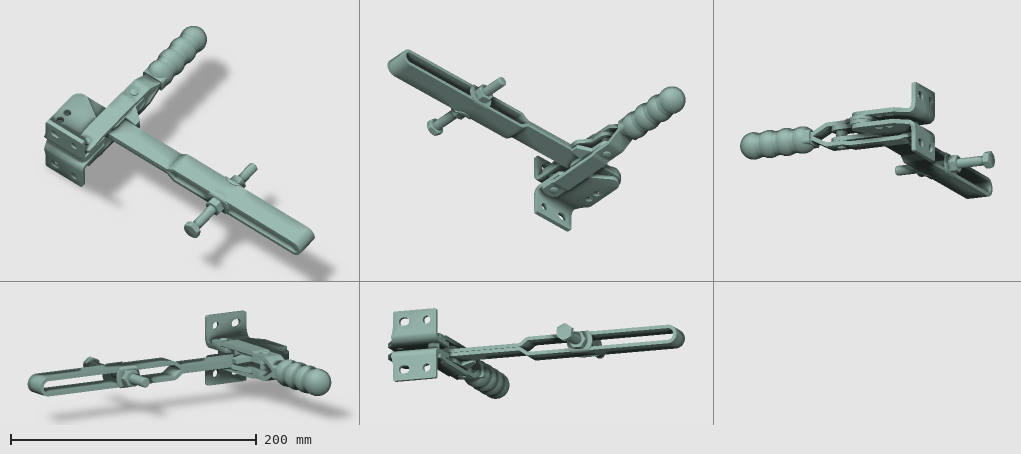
import cadquery as cq
import math


leaf_thickness = 3.0
leaf_half_gap = 0.12
plate_thickness = 3.7
strap_thickness = 3.5
plate_inner_z = leaf_half_gap + leaf_thickness
plate_outer_z = plate_inner_z + plate_thickness

arm_length = 243.5
arm_bottom_y = 37.5
arm_width = 19.7
arm_middle_y = arm_bottom_y + arm_width / 2
arm_top_y = arm_bottom_y + arm_width
arm_slot_outer_z = 7.8
arm_bend_start_x = 107.0
arm_bend_end_x = 113.3
arm_bend_radius = 2.7

base_right_x = 48.7
base_left_x = 1.2
base_half_height = 29.0
nose_x = 9.0
nose_radius = nose_x - base_left_x
slope_foot = (32.1, 41.2)
bend_inner_radius = 2.5
bend_outer_radius = bend_inner_radius + plate_thickness
corner_start_y = 15.3
corner_end = (4.6, 11.5)
flange_left_x = 11.2
flange_corner_radius = 1.5
side_hole_diameter = 6.3
side_hole_ys = (22.5, 32.0)
mount_hole_diameter = 6.5
mount_hole_z = 20.0
round_hole_x = 40.5
slot_hole_x = 21.0
slot_hole_length = 9.0

handle_x = 41.0
lower_rivet_y = 15.8
upper_rivet_y = 79.6
rivet_shank_diameter = 6.3
rivet_spacer_diameter = 9.5
rivet_head_diameter = 7.0
rivet_rim_height = 1.0
rivet_dome_height = 1.0

link_radius = 8.3
tab_bend_x = 50.0
tab_tip = (59.7, 63.3)
tab_drop = 2.5
tab_top_y = 70.6

strap_width = 15.5
strap_end_y = 7.0
strap_end_radius = 11.7
strap_step = 1.2
step_ys = (20.5, 24.4, 70.9, 74.5)
neck_ys = (90.4, 103.0)
strap_step_radius = 2.5
strap_neck_radius = 4.0
lever_end_y = 104.2

end_ball_radius = 11.2
middle_ball_radius = 11.5
end_ball_spacing = 14.4
middle_ball_spacing = 15.0
grip_top_y = 169.5
grip_neck_radius = 10.0
ferrule_width = 20.0
ferrule_height = 11.7
ferrule_corner_radius = 2.5

spindle_x = 159.8
spindle_top_y = 85.0
spindle_diameter = 8.0
spindle_chamfer = 0.7
hex_across_flats = 13.0
hex_chamfer_height = 0.7
head_height = 5.0
head_turn = 35.0
nut_height = 6.5
washer_radius = 11.0
washer_half_height = 8.8
washer_thickness = 1.5
washer_bend_radius = 2.5
washer_ear_half_width = 8.8
washer_ear_drop = 4.5


def box(x_range, y_range, z_range):
    """Axis-aligned block between the given limits."""
    sizes = [high - low for low, high in (x_range, y_range, z_range)]
    corner = (x_range[0], y_range[0], z_range[0])
    return cq.Workplane("XY").box(*sizes, centered=False).translate(corner)


def y_cylinder(x, z, radius, y_start, y_end):
    """Cylinder along Y from y_start to y_end."""
    plane = cq.Plane(origin=(x, y_start, z), xDir=(1, 0, 0), normal=(0, 1, 0))
    return cq.Workplane(plane).circle(radius).extrude(y_end - y_start)


def z_cylinder(x, y, radius, half_length):
    """Cylinder along Z, symmetric about the mid-plane."""
    return cq.Workplane("XY").center(x, y).circle(radius).extrude(half_length, both=True)


def mirrored(shape):
    """The shape reflected through the mid-plane Z = 0."""
    return shape.mirror("XY")


def offset_path(path, distance):
    """Open path moved sideways (to the right of travel), with mitred corners."""
    angles = [math.atan2(b[1] - a[1], b[0] - a[0]) for a, b in zip(path, path[1:])]
    before = [angles[0]] + angles
    after = angles + [angles[-1]]
    moved = []
    for (u, v), start, end in zip(path, before, after):
        middle = (start + end) / 2
        reach = distance / math.cos((end - start) / 2)
        moved.append((u + reach * math.sin(middle), v - reach * math.cos(middle)))
    return moved


def bent_strip(plane, path, thickness, radii, width):
    """Sheet strip whose outer face follows the path; radii are the inside radii of its bends."""
    inner = offset_path(path, thickness)
    strip = cq.Workplane(plane).polyline(path + inner[::-1]).close().extrude(width)
    to_world = strip.plane.toWorldCoords
    for i, radius in enumerate(radii, start=1):
        turn = (path[i][0] - path[i - 1][0]) * (path[i + 1][1] - path[i][1])
        turn -= (path[i][1] - path[i - 1][1]) * (path[i + 1][0] - path[i][0])
        outer_radius = radius if turn > 0 else radius + thickness
        inner_radius = radius + thickness if turn > 0 else radius
        for corner, bend in ((path[i], outer_radius), (inner[i], inner_radius)):
            middle = to_world((corner[0], corner[1], width / 2)).toTuple()
            strip = strip.edges(cq.selectors.NearestToPointSelector(middle)).fillet(bend)
    return strip


def rivet(y, seat_z):
    """Spacer, shank and two domed heads that sit on the outer faces at Z = +-seat_z."""
    head_radius = rivet_head_diameter / 2
    rim_z = seat_z + rivet_rim_height
    shank = z_cylinder(handle_x, y, rivet_shank_diameter / 2, seat_z)
    spacer = z_cylinder(handle_x, y, rivet_spacer_diameter / 2, plate_inner_z)
    dome_radius = (head_radius**2 + rivet_dome_height**2) / (2 * rivet_dome_height)
    half_angle = math.asin(head_radius / dome_radius) / 2
    dome_middle = (
        dome_radius * math.sin(half_angle),
        rim_z + rivet_dome_height - dome_radius * (1 - math.cos(half_angle)),
    )
    head = (
        cq.Workplane("XZ")
        .moveTo(0, seat_z)
        .lineTo(head_radius, seat_z)
        .lineTo(head_radius, rim_z)
        .threePointArc(dome_middle, (0, rim_z + rivet_dome_height))
        .close()
        .revolve(360, (0, 0, 0), (0, 1, 0))
        .translate((handle_x, y, 0))
    )
    return spacer.union(shank).union(head).union(mirrored(head))


def make_arm():
    """Strip folded back on itself: two close leaves that open into a long slotted end."""
    tip_x = arm_length - arm_slot_outer_z
    path = [
        (0, plate_inner_z),
        (arm_bend_start_x, plate_inner_z),
        (arm_bend_end_x, arm_slot_outer_z),
        (tip_x, arm_slot_outer_z),
    ]
    radii = (arm_bend_radius, arm_bend_radius)
    plane = cq.Plane(origin=(0, arm_top_y, 0), xDir=(1, 0, 0), normal=(0, -1, 0))
    leaf = bent_strip(plane, path, leaf_thickness, radii, arm_width)
    ring = y_cylinder(tip_x, 0, arm_slot_outer_z, arm_bottom_y, arm_top_y)
    ring = ring.cut(y_cylinder(tip_x, 0, arm_slot_outer_z - leaf_thickness, arm_bottom_y, arm_top_y))
    z_range = (-arm_slot_outer_z, arm_slot_outer_z)
    fold = ring.intersect(box((tip_x, arm_length), (arm_bottom_y, arm_top_y), z_range))
    arm = leaf.union(fold).union(mirrored(leaf))
    round_end_x = arm_width / 2
    outline = z_cylinder(round_end_x, arm_middle_y, round_end_x, arm_slot_outer_z)
    outline = outline.union(box((round_end_x, arm_length), (arm_bottom_y, arm_top_y), z_range))
    return arm.intersect(outline)


def base_side_outline():
    """Outline of the upright plate: round nose, sloping top edge and cut-back lower corner."""
    nose_y = arm_middle_y
    to_foot_x = slope_foot[0] - nose_x
    to_foot_y = slope_foot[1] - nose_y
    foot_distance = math.hypot(to_foot_x, to_foot_y)
    tangent_angle = math.atan2(to_foot_y, to_foot_x) + math.acos(nose_radius / foot_distance)
    middle_angle = (tangent_angle + math.pi) / 2

    def on_nose(angle):
        return (nose_x + nose_radius * math.cos(angle), nose_y + nose_radius * math.sin(angle))

    slope = -1 / math.tan(tangent_angle)
    slope_end_y = slope_foot[1] + slope * (base_right_x - slope_foot[0])
    return (
        cq.Workplane("XY")
        .moveTo(base_left_x, nose_y)
        .threePointArc(on_nose(middle_angle), on_nose(tangent_angle))
        .lineTo(base_right_x, slope_end_y)
        .lineTo(base_right_x, 0)
        .lineTo(9.7, 0)
        .threePointArc((7.5, 6.8), corner_end)
        .lineTo(base_left_x, corner_start_y)
        .close()
        .extrude(base_half_height)
    )


def flange_outline():
    """Outline of the flange seen along Y, widening to a shoulder near the bend."""
    return (
        cq.Workplane("XZ")
        .moveTo(flange_left_x, base_half_height)
        .lineTo(base_right_x, base_half_height)
        .lineTo(base_right_x, plate_inner_z)
        .lineTo(base_left_x, plate_inner_z)
        .lineTo(base_left_x, plate_outer_z)
        .lineTo(8.8, plate_outer_z)
        .threePointArc((10.2, 10.5), (flange_left_x, 15.5))
        .close()
        .extrude(-(arm_top_y))
        .edges("|Y and >Z")
        .fillet(flange_corner_radius)
    )


def make_base_plate():
    """Upright plate bent outward into a mounting flange with a round hole and a slot."""
    bend_z = plate_inner_z + bend_outer_radius
    diagonal = math.sqrt(0.5)
    outer_middle = (
        bend_outer_radius * (1 - diagonal),
        bend_z - bend_outer_radius * diagonal,
    )
    inner_middle = (
        bend_outer_radius - bend_inner_radius * diagonal,
        bend_z - bend_inner_radius * diagonal,
    )
    sheet = (
        cq.Workplane("YZ")
        .moveTo(arm_top_y, plate_inner_z)
        .lineTo(bend_outer_radius, plate_inner_z)
        .threePointArc(outer_middle, (0, bend_z))
        .lineTo(0, base_half_height)
        .lineTo(plate_thickness, base_half_height)
        .lineTo(plate_thickness, bend_z)
        .threePointArc(inner_middle, (bend_outer_radius, plate_outer_z))
        .lineTo(arm_top_y, plate_outer_z)
        .close()
        .extrude(base_right_x)
    )
    plate = sheet.intersect(base_side_outline()).intersect(flange_outline())
    for y in side_hole_ys:
        plate = plate.cut(z_cylinder(nose_x, y, side_hole_diameter / 2, base_half_height))
    plate = plate.cut(z_cylinder(handle_x, lower_rivet_y, rivet_shank_diameter / 2, base_half_height))
    plate = plate.cut(
        y_cylinder(round_hole_x, mount_hole_z, mount_hole_diameter / 2, 0, plate_thickness)
    )
    slot = (
        cq.Workplane("XZ")
        .center(slot_hole_x, mount_hole_z)
        .slot2D(slot_hole_length, mount_hole_diameter)
        .extrude(-plate_thickness)
    )
    return plate.cut(slot)


def make_link():
    """Two link plates with inward-bent stop tabs, joined by the upper rivet."""
    length = upper_rivet_y - arm_middle_y
    side = (
        cq.Workplane("XY", origin=(handle_x, (upper_rivet_y + arm_middle_y) / 2, plate_inner_z))
        .slot2D(length + 2 * link_radius, 2 * link_radius, 90)
        .extrude(plate_thickness)
    )
    path = [
        (handle_x, plate_outer_z),
        (tab_bend_x, plate_outer_z),
        (tab_tip[0], plate_outer_z - tab_drop),
    ]
    plane = cq.Plane(origin=(0, upper_rivet_y, 0), xDir=(1, 0, 0), normal=(0, -1, 0))
    strip = bent_strip(plane, path, plate_thickness, (plate_thickness,), upper_rivet_y - arm_top_y)
    tab_outline = (
        cq.Workplane("XY")
        .moveTo(handle_x, arm_top_y)
        .lineTo(tab_tip[0], arm_top_y)
        .lineTo(*tab_tip)
        .lineTo(handle_x + link_radius, tab_top_y)
        .lineTo(handle_x, tab_top_y)
        .close()
        .extrude(plate_outer_z)
    )
    side = side.union(strip.intersect(tab_outline))
    rivet_seat_z = plate_outer_z + strap_thickness
    return side.union(mirrored(side)).union(rivet(upper_rivet_y, rivet_seat_z))


def make_lever():
    """Forked strap around base and links, closed at its neck and carrying the lower rivet."""
    low_z = plate_outer_z + strap_thickness
    high_z = low_z + strap_step
    path = [
        (strap_end_y, low_z),
        (step_ys[0], low_z),
        (step_ys[1], high_z),
        (step_ys[2], high_z),
        (step_ys[3], low_z),
        (neck_ys[0], low_z),
        (neck_ys[1], strap_thickness),
        (lever_end_y, strap_thickness),
    ]
    radii = [strap_step_radius] * 4 + [strap_neck_radius]
    plane = cq.Plane(origin=(handle_x - strap_width / 2, 0, 0), xDir=(0, 1, 0), normal=(1, 0, 0))
    leg = bent_strip(plane, path, strap_thickness, radii, strap_width)
    outline = z_cylinder(handle_x, strap_end_y + strap_end_radius, strap_end_radius, high_z)
    x_range = (handle_x - strap_width / 2, handle_x + strap_width / 2)
    upper_outline = box(x_range, (lower_rivet_y, lever_end_y), (-high_z, high_z))
    leg = leg.intersect(outline.union(upper_outline))
    leg = leg.cut(z_cylinder(handle_x, upper_rivet_y, rivet_shank_diameter / 2, high_z))
    return leg.union(mirrored(leg)).union(rivet(lower_rivet_y, low_z))


def make_grip():
    """Row of balls on a round core, with a flat ferrule at the lever end."""
    top_ball_y = grip_top_y - end_ball_radius
    upper_middle_y = top_ball_y - end_ball_spacing
    lower_middle_y = upper_middle_y - middle_ball_spacing
    bottom_ball_y = lower_middle_y - end_ball_spacing
    grip = y_cylinder(handle_x, 0, grip_neck_radius, bottom_ball_y, top_ball_y)
    for y in (bottom_ball_y, top_ball_y):
        grip = grip.union(cq.Workplane("XY", origin=(handle_x, y, 0)).sphere(end_ball_radius))
    for y in (lower_middle_y, upper_middle_y):
        grip = grip.union(cq.Workplane("XY", origin=(handle_x, y, 0)).sphere(middle_ball_radius))
    half_width = ferrule_width / 2
    half_height = ferrule_height / 2
    ferrule = box(
        (handle_x - half_width, handle_x + half_width),
        (lever_end_y, bottom_ball_y),
        (-half_height, half_height),
    )
    grip = grip.union(ferrule.edges("|Y").fillet(ferrule_corner_radius))
    lever_side = y_cylinder(handle_x, 0, end_ball_radius, 0, lever_end_y)
    return grip.cut(lever_side)


def hexagon(y_start, height, turn):
    """Hexagon block along Y with both ends chamfered to a circle; turn is in degrees."""
    corner_radius = hex_across_flats / math.sqrt(3)
    chamfer_width = corner_radius - hex_across_flats / 2
    plane = cq.Plane(origin=(spindle_x, y_start, 0), xDir=(1, 0, 0), normal=(0, 1, 0))
    prism = cq.Workplane(plane).polygon(6, 2 * corner_radius).extrude(height)
    prism = prism.rotate((spindle_x, 0, 0), (spindle_x, 1, 0), turn)
    rounding = (
        cq.Workplane("XY")
        .moveTo(0, 0)
        .lineTo(corner_radius - chamfer_width, 0)
        .lineTo(corner_radius, hex_chamfer_height)
        .lineTo(corner_radius, height - hex_chamfer_height)
        .lineTo(corner_radius - chamfer_width, height)
        .lineTo(0, height)
        .close()
        .revolve(360, (0, 0, 0), (0, 1, 0))
        .translate((spindle_x, y_start, 0))
    )
    return prism.intersect(rounding)


def make_upper_washer():
    """Round washer with two ears folded over the arm."""
    top_y = arm_top_y + washer_thickness
    x_range = (spindle_x - washer_radius, spindle_x + washer_radius)
    z_range = (-washer_half_height, washer_half_height)
    channel = box(x_range, (top_y - washer_ear_drop, top_y), z_range)
    channel = channel.edges("|X and >Y").fillet(washer_bend_radius)
    arm_space = (-arm_slot_outer_z, arm_slot_outer_z)
    channel = channel.cut(box(x_range, (arm_bottom_y, arm_top_y), arm_space))
    fold_z = washer_half_height - washer_bend_radius
    disc = y_cylinder(spindle_x, 0, washer_radius, arm_top_y, top_y)
    disc = disc.intersect(box(x_range, (arm_top_y, top_y), (-fold_z, fold_z)))
    ears_outline = (
        cq.Workplane("XY")
        .moveTo(spindle_x - washer_ear_half_width, top_y)
        .threePointArc((spindle_x, top_y - washer_ear_drop), (spindle_x + washer_ear_half_width, top_y))
        .close()
        .extrude(washer_half_height, both=True)
    )
    return disc.union(channel.intersect(ears_outline))


def make_spindle():
    """Hexagon-head bolt with two nuts and two washers that grip the slotted arm."""
    bolt = y_cylinder(spindle_x, 0, spindle_diameter / 2, 0, spindle_top_y)
    bolt = bolt.faces(">Y").chamfer(spindle_chamfer)
    bolt = bolt.union(hexagon(0, head_height, head_turn))
    upper_washer = make_upper_washer()
    lower_washer = upper_washer.mirror("XZ", (0, arm_middle_y, 0))
    upper_nut_y = arm_top_y + washer_thickness
    lower_nut_y = arm_bottom_y - washer_thickness - nut_height
    for piece in (upper_washer, lower_washer):
        bolt = bolt.union(piece)
    for nut_y in (upper_nut_y, lower_nut_y):
        bolt = bolt.union(hexagon(nut_y, nut_height, 0))
    return bolt


upper_base_plate = make_base_plate()
lower_base_plate = mirrored(upper_base_plate)
arm = make_arm()
link = make_link()
lever = make_lever()
grip = make_grip()
spindle = make_spindle()

bodies = [upper_base_plate, lower_base_plate, arm, link, lever, grip, spindle]
result = cq.Compound.makeCompound([body.solids().val() for body in bodies])